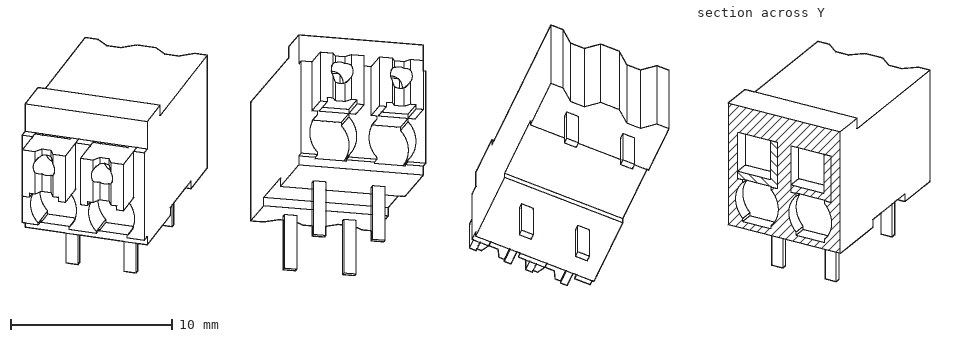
import cadquery as cq


pole_pitch = 3.8
pole_centres = [-pole_pitch / 2, pole_pitch / 2]

width = 8.01
back_y = 14.3
lip_front_y = 2.0
cap_front_y = 2.59
cap_depth = 2.5
cap_back_y = cap_front_y + cap_depth
cap_top_z = 8.5
body_top_z = 7.76
lip_top_z = 6.6
lip_bottom_z = 0.59
relief_start_y = 7.09
relief_end_y = 11.11
relief_height = 0.55

back_notch_outer_width = 2.55
back_notch_inner_width = 0.93
back_notch_depth = 0.69

button_width = 2.82
button_height = 3.19
button_bottom_z = lip_top_z - button_height
button_head_depth = 2.42
button_wall = 0.5
button_tail_length = 1.5
button_back_y = button_head_depth + button_tail_length
groove_outer_width = 1.17
groove_inner_width = 0.61
groove_depth = 0.5
tool_hole_radius = 0.7
tool_hole_z = 5.53
wire_notch_width = 1.9
wire_notch_height = 0.27

entry_x_offset = -0.05
entry_width = 3.02
entry_arc_height = 2.49
entry_centre_z = 1.96
entry_slot_width = 2.0
entry_floor_z = 0.5
entry_back_y = 3.85

pin_width = 0.8
pin_thickness = 0.36
pin_length = 3.5
front_pin_y = 5.63
pin_row_spacing = 7.04
pin_rows = [front_pin_y, front_pin_y + pin_row_spacing]


def box(x_centre, x_size, y_start, y_end, z_start, z_end):
    """Box centred on x_centre, spanning the given Y and Z ranges."""
    return (
        cq.Workplane("XY")
        .box(x_size, y_end - y_start, z_end - z_start, centered=(True, False, False))
        .translate((x_centre, y_start, z_start))
    )


def cylinder_along_y(x_centre, z_centre, radius, y_start, y_end):
    """Round bar parallel to Y."""
    return (
        cq.Workplane("XZ", origin=(x_centre, y_start, z_centre))
        .circle(radius)
        .extrude(y_start - y_end)
    )


def tapered_notch(x_centre, mouth_y, floor_y, mouth_width, floor_width, z_start, z_end):
    """Upright prism that narrows from its mouth to its floor."""
    return (
        cq.Workplane("XY", origin=(x_centre, 0, z_start))
        .polyline([
            (-mouth_width / 2, mouth_y),
            (mouth_width / 2, mouth_y),
            (floor_width / 2, floor_y),
            (-floor_width / 2, floor_y),
        ])
        .close()
        .extrude(z_end - z_start)
    )


def housing_blank():
    """Side outline with cap, front lip and bottom relief, extruded across the width."""
    outline = [
        (cap_front_y, 0),
        (cap_front_y, lip_bottom_z),
        (lip_front_y, lip_bottom_z),
        (lip_front_y, lip_top_z),
        (cap_front_y, lip_top_z),
        (cap_front_y, cap_top_z),
        (cap_back_y, cap_top_z),
        (cap_back_y, body_top_z),
        (back_y, body_top_z),
        (back_y, 0),
        (relief_end_y, 0),
        (relief_end_y, relief_height),
        (relief_start_y, relief_height),
        (relief_start_y, 0),
    ]
    return cq.Workplane("YZ", origin=(-width / 2, 0, 0)).polyline(outline).close().extrude(width)


def wire_entry(pole_centre):
    """Wire opening: an upright slot with a bulging arc on each side, ending on one flat back wall."""
    x_centre = pole_centre + entry_x_offset
    half_slot = entry_slot_width / 2
    half_width = entry_width / 2
    half_arc = entry_arc_height / 2
    bulge = (
        cq.Workplane("XZ", origin=(x_centre, lip_front_y, entry_centre_z))
        .moveTo(-half_slot, -half_arc)
        .threePointArc((-half_width, 0), (-half_slot, half_arc))
        .lineTo(half_slot, half_arc)
        .threePointArc((half_width, 0), (half_slot, -half_arc))
        .close()
        .extrude(lip_front_y - entry_back_y)
    )
    slot = box(x_centre, entry_slot_width, lip_front_y, entry_back_y, entry_floor_z, button_bottom_z)
    return bulge.union(slot)


def make_housing():
    housing = housing_blank()
    for x_centre in pole_centres:
        button_pocket = box(x_centre, button_width, lip_front_y, button_back_y, button_bottom_z, lip_top_z)
        back_notch = tapered_notch(
            x_centre, back_y, back_y - back_notch_depth,
            back_notch_outer_width, back_notch_inner_width, 0, body_top_z,
        )
        housing = housing.cut(button_pocket).cut(wire_entry(x_centre)).cut(back_notch)
    return housing


def make_button(x_centre):
    """Push button: a solid head in front and a hollow tail with a floor and a wall on its +X side."""
    body = box(x_centre, button_width, 0, button_back_y, button_bottom_z, lip_top_z)
    recess = box(
        x_centre - button_wall / 2, button_width - button_wall,
        button_head_depth, button_back_y, button_bottom_z + button_wall, lip_top_z,
    )
    groove = tapered_notch(
        x_centre, 0, groove_depth, groove_outer_width, groove_inner_width, button_bottom_z, lip_top_z
    )
    tool_hole = cylinder_along_y(x_centre, tool_hole_z, tool_hole_radius, 0, button_head_depth)
    wire_notch = box(
        x_centre, wire_notch_width, 0, lip_front_y, button_bottom_z, button_bottom_z + wire_notch_height
    )
    return body.cut(recess).cut(groove).cut(tool_hole).cut(wire_notch)


def make_pin(x_centre, y_centre):
    """Flat solder pin hanging from the underside of the housing."""
    half_thickness = pin_thickness / 2
    return box(x_centre, pin_width, y_centre - half_thickness, y_centre + half_thickness, -pin_length, 0)


housing = make_housing()

buttons = []
for x_centre in pole_centres:
    buttons.append(make_button(x_centre).val())

pins = []
for x_centre in pole_centres:
    for y_centre in pin_rows:
        pins.append(make_pin(x_centre, y_centre).val())

result = cq.Compound.makeCompound([housing.val(), *buttons, *pins])